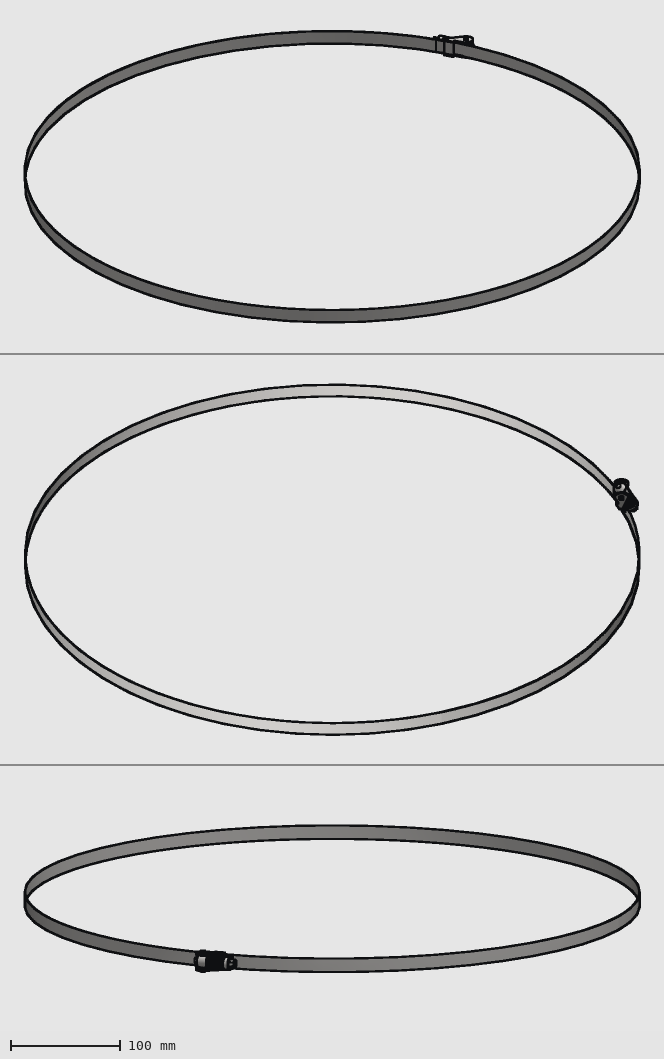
import cadquery as cq
import math

band_radius = 280.03
band_thickness = 0.6
band_width = 12.7
lap_gap = 0.1
outer_end_x = -12.5
inner_end_x = 5.0

mechanism_top = 292.98
plate_radius = 6.35
axis_height = mechanism_top - plate_radius

pin_diameter = 4.0
pin_length = 19.05
pin_position = 13.8

saddle_width = 15.6
saddle_gap = 12.8
strap_start = -4.3
strap_end = inner_end_x
strap_thickness = 0.8
plate_slope = math.radians(36)

housing_radius = 6.0
collar_start = -12.5
collar_end = -7.8
barrel_start = 8.5
barrel_end = 21.3
barrel_chamfer = 3.8
base_bottom = band_radius + 0.1
base_thickness = 0.5
foot_width = 6.0

head_across_flats = 7.0
head_end = -17.5
slot_width = 1.2
slot_depth = 1.5
slot_tilt = -45
worm_radius = 5.85
core_radius = 4.6
ring_pitch = 3.2
ring_width = ring_pitch / 2


def along_x(start):
    """Workplane facing +X at the given X, centred on the screw axis (local x is Y, local y is Z)."""
    return cq.Workplane("YZ", origin=(start, axis_height, 0))


def across_z(height):
    """Workplane facing +Z, placed so that a body of the given height is centred on Z = 0."""
    return cq.Workplane("XY", origin=(0, 0, -height / 2))


def point_at_x(x, radius, centre_x):
    """Point at the given X on the +Y side of a circle centred on the X axis."""
    return x, math.sqrt(radius**2 - (x - centre_x) ** 2)


def build_band():
    lap_step = band_thickness + lap_gap
    inner_radius = band_radius - band_thickness
    lap_radius = band_radius - lap_step
    lap_inner_radius = inner_radius - lap_step
    lap_centre = -lap_step
    lap_middle_x = lap_centre - lap_radius / 2
    return (
        across_z(band_width)
        .moveTo(*point_at_x(outer_end_x, band_radius, 0))
        .threePointArc((band_radius, 0), (0, -band_radius))
        .threePointArc(
            (-band_radius * math.sqrt(0.5), -band_radius * math.sqrt(0.5)),
            (-band_radius, 0),
        )
        .threePointArc(
            point_at_x(lap_middle_x, lap_radius, lap_centre),
            point_at_x(inner_end_x, lap_radius, lap_centre),
        )
        .lineTo(*point_at_x(inner_end_x, lap_inner_radius, lap_centre))
        .threePointArc(
            point_at_x(lap_middle_x, lap_inner_radius, lap_centre),
            (-inner_radius, 0),
        )
        .threePointArc(
            (-inner_radius * math.sqrt(0.5), -inner_radius * math.sqrt(0.5)),
            (0, -inner_radius),
        )
        .threePointArc((inner_radius, 0), point_at_x(outer_end_x, inner_radius, 0))
        .close()
        .extrude(band_width)
    )


def build_pin():
    return (
        across_z(pin_length)
        .center(pin_position, axis_height)
        .circle(pin_diameter / 2)
        .extrude(pin_length)
    )


def build_screw():
    head = (
        along_x(head_end)
        .polygon(6, head_across_flats, circumscribed=True)
        .extrude(collar_start - head_end)
    )
    slot = (
        along_x(head_end)
        .transformed(rotate=(0, 0, slot_tilt))
        .rect(2 * head_across_flats, slot_width)
        .extrude(slot_depth)
    )
    screw = head.cut(slot)
    core = along_x(collar_start).circle(core_radius).extrude(barrel_start - collar_start)
    screw = screw.union(core)
    ring_count = int((barrel_start - collar_end) / ring_pitch)
    for index in range(ring_count):
        ring_start = collar_end + ring_width + index * ring_pitch
        ring = along_x(ring_start).circle(worm_radius).extrude(ring_width)
        screw = screw.union(ring)
    return screw


def on_base(start, length, height, width):
    """Block standing on the underside of the housing base, centred on Z = 0."""
    block = cq.Workplane("XY").box(length, height, width, centered=(False, False, True))
    return block.translate((start, base_bottom, 0))


def build_housing(screw, pin):
    collar = along_x(collar_start).circle(housing_radius).extrude(collar_end - collar_start)
    barrel = (
        along_x(barrel_start)
        .circle(housing_radius)
        .extrude(barrel_end - barrel_start)
        .faces(">X")
        .chamfer(barrel_chamfer)
    )
    base_length = barrel_end - barrel_chamfer - collar_start
    base = on_base(collar_start, base_length, base_thickness, 2 * housing_radius)
    foot_height = axis_height - base_bottom
    collar_foot = on_base(collar_start, collar_end - collar_start, foot_height, foot_width)
    barrel_foot = on_base(barrel_start, pin_position - barrel_start, foot_height, foot_width)
    housing = collar.union(collar_foot).union(base).union(barrel_foot).union(barrel)
    return housing.cut(screw).cut(pin)


def build_saddle(pin):
    strap_top = band_radius - 2 * (band_thickness + lap_gap)
    strap_bottom = strap_top - strap_thickness
    plate_bottom = axis_height - plate_radius
    slope_top_x = pin_position - plate_radius * math.sin(plate_slope)
    slope_top_y = axis_height + plate_radius * math.cos(plate_slope)
    slope_foot_y = slope_top_y - (slope_top_x - strap_start) * math.tan(plate_slope)
    outline = (
        across_z(saddle_width)
        .moveTo(strap_start, strap_bottom)
        .lineTo(strap_end, strap_bottom)
        .lineTo(strap_end, plate_bottom)
        .lineTo(pin_position, plate_bottom)
        .threePointArc((pin_position + plate_radius, axis_height), (slope_top_x, slope_top_y))
        .lineTo(strap_start, slope_foot_y)
        .close()
        .extrude(saddle_width)
    )
    gap_length = pin_position + 2 * plate_radius - strap_start
    gap = (
        cq.Workplane("XY")
        .box(gap_length, mechanism_top - strap_top, saddle_gap, centered=(False, False, True))
        .translate((strap_start, strap_top, 0))
    )
    return outline.cut(gap).cut(pin)


band = build_band()
pin = build_pin()
screw = build_screw()
housing = build_housing(screw, pin)
saddle = build_saddle(pin)

result = cq.Compound.makeCompound([band.val(), saddle.val(), housing.val(), screw.val(), pin.val()])